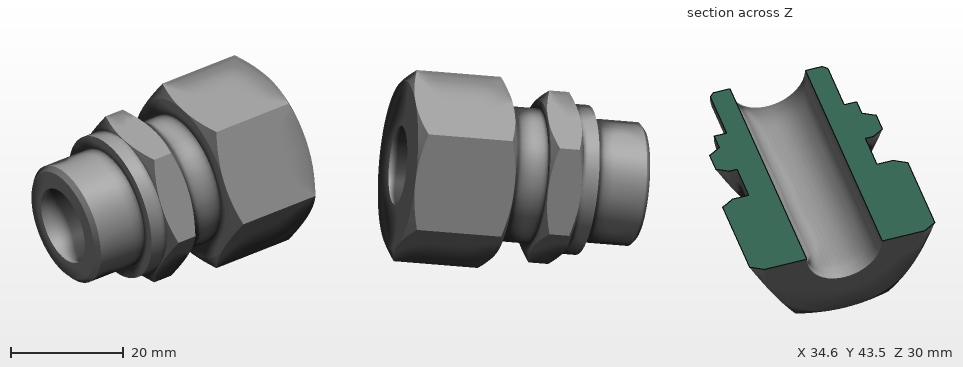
import cadquery as cq
import math

stud_length = 10.0
collar_length = 3.0
body_hex_length = 6.0
neck_length = 6.5
nut_length = 18.0

bore_diameter = 14.0
stud_diameter = 22.0
collar_diameter = 26.68
neck_diameter = 24.02
body_hex_flats = 27.0
nut_flats = 30.0

stud_chamfer_length = 0.8
stud_chamfer_depth = 0.85
hex_chamfer_angle = 30

collar_start = stud_length
body_hex_start = collar_start + collar_length
neck_start = body_hex_start + body_hex_length
nut_start = neck_start + neck_length
total_length = nut_start + nut_length


def section_plane(start):
    """Plane across the fitting axis, facing +Y, with local x along +X."""
    return cq.Workplane(cq.Plane(origin=(0, start, 0), xDir=(1, 0, 0), normal=(0, 1, 0)))


def cylinder(start, length, diameter):
    return section_plane(start).circle(diameter / 2).extrude(length)


def chamfered_hex(start, length, flats):
    """Hexagon with corners on the X axis and conical chamfers at both ends."""
    flat_radius = flats / 2
    corner_radius = flat_radius / math.cos(math.radians(30))
    chamfer_height = (corner_radius - flat_radius) * math.tan(math.radians(hex_chamfer_angle))
    end = start + length
    prism = section_plane(start).polygon(6, 2 * corner_radius).extrude(length)
    envelope = (
        cq.Workplane("XY")
        .moveTo(0, start)
        .lineTo(flat_radius, start)
        .lineTo(corner_radius, start + chamfer_height)
        .lineTo(corner_radius, end - chamfer_height)
        .lineTo(flat_radius, end)
        .lineTo(0, end)
        .close()
        .revolve(360, (0, 0, 0), (0, 1, 0))
    )
    return prism.intersect(envelope)


def chamfered_stud():
    """Stud with a conical lead-in at its free end."""
    radius = stud_diameter / 2
    return (
        cq.Workplane("XY")
        .lineTo(radius - stud_chamfer_depth, 0)
        .lineTo(radius, stud_chamfer_length)
        .lineTo(radius, stud_length)
        .lineTo(0, stud_length)
        .close()
        .revolve(360, (0, 0, 0), (0, 1, 0))
    )


result = (
    chamfered_stud()
    .union(cylinder(collar_start, collar_length, collar_diameter))
    .union(chamfered_hex(body_hex_start, body_hex_length, body_hex_flats))
    .union(cylinder(neck_start, neck_length, neck_diameter))
    .union(chamfered_hex(nut_start, nut_length, nut_flats))
    .cut(cylinder(0, total_length, bore_diameter))
)